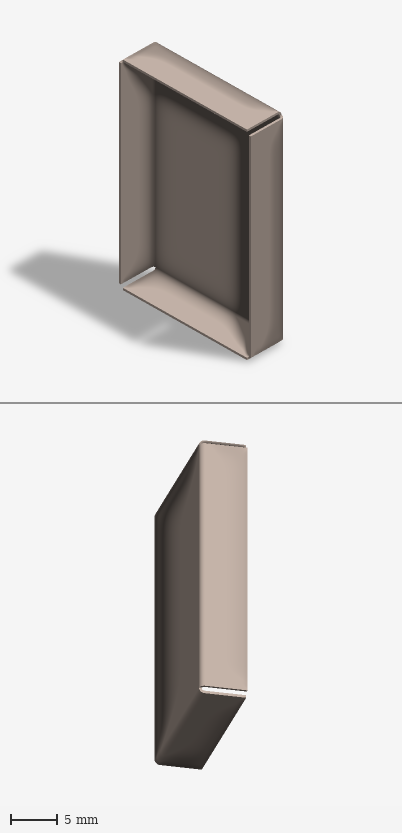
import cadquery as cq

width = 20.3
depth = 5.3
height = 30.3
sheet = 0.3
inner_radius = 0.3
outer_radius = inner_radius + sheet

panel_width = width - 2 * outer_radius
panel_height = height - 2 * outer_radius
back_y = depth / 2
front_y = -depth / 2
bend_y = back_y - outer_radius


def make_flange(panel_side, bend_length):
    """Bend and straight wall along the +X edge of a panel, centred on Z."""
    bend_x = panel_side / 2
    diagonal = 0.5 ** 0.5
    outer_mid = outer_radius * diagonal
    inner_mid = inner_radius * diagonal
    return (
        cq.Workplane("XY")
        .workplane(offset=-bend_length / 2)
        .moveTo(bend_x, back_y)
        .threePointArc((bend_x + outer_mid, bend_y + outer_mid), (bend_x + outer_radius, bend_y))
        .lineTo(bend_x + outer_radius, front_y)
        .lineTo(bend_x + inner_radius, front_y)
        .lineTo(bend_x + inner_radius, bend_y)
        .threePointArc((bend_x + inner_mid, bend_y + inner_mid), (bend_x, back_y - sheet))
        .close()
        .extrude(bend_length)
    )


def turn_about_y(body, angle):
    return body.rotate((0, 0, 0), (0, 1, 0), angle)


panel = cq.Workplane("XY").box(panel_width, sheet, panel_height).translate((0, back_y - sheet / 2, 0))
side_flange = make_flange(panel_width, panel_height)
end_flange = make_flange(panel_height, panel_width)

result = panel
for angle in (0, 180):
    result = result.union(turn_about_y(side_flange, angle))
    result = result.union(turn_about_y(end_flange, angle + 90))